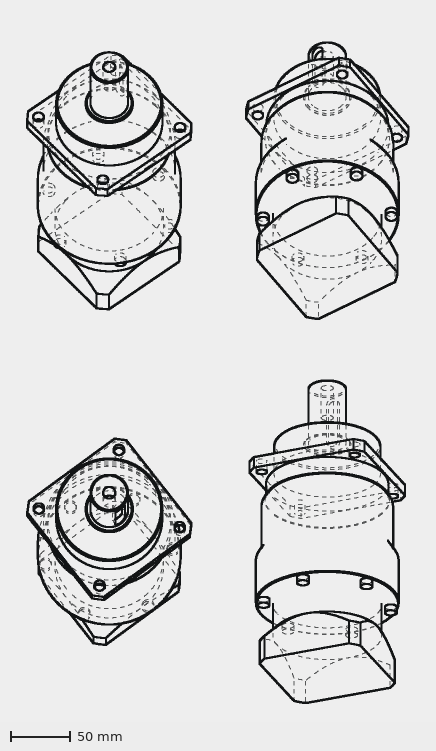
import cadquery as cq
import math

total_height = 268.5
adapter_cone_top = 35.5
bolt_head_bottom = 60.5
ring_bottom = 66.0
drum_top = 106.7
barrel_bottom = 113.8
barrel_top = 158.4
shoulder_bottom = 162.3
flange_neck_bottom = 164.8
flange_bottom = 178.2
flange_thickness = 10.0
boss_top = 215.0
collar_top = 216.5

neck_diameter = 92.0
drum_diameter = 121.0
barrel_diameter = 111.5
shoulder_diameter = 105.0
flange_neck_diameter = 103.5
boss_diameter = 90.0
collar_diameter = 40.0
shaft_diameter = 32.0

boss_chamfer = 1.25
collar_chamfer = 1.0
shaft_chamfer = 1.0
ring_chamfer = 0.75
cone_blend_radius = 5.0
neck_fillet = 1.5
flange_neck_fillet = 2.0

adapter_width = 92.0
adapter_corner_diameter = 120.0

flange_width = 105.0
flange_corner_cut = 7.0
flange_hole_circle = 120.0
flange_hole_diameter = 9.0

bolt_count = 6
bolt_circle = 108.5
bolt_head_diameter = 10.0

keyway_width = 10.0
keyway_length = 45.0
keyway_depth = 5.0
keyway_end_gap = 5.0
center_hole_diameter = 10.2
center_hole_depth = 28.0
drill_point_angle = 118.0


def cylinder(diameter, bottom, top):
    """Upright cylinder on the Z axis between two heights."""
    return cq.Workplane("XY").workplane(offset=bottom).circle(diameter / 2).extrude(top - bottom)


def fillet_circle(body, height, radius):
    """Round the circular edge whose centre lies on the Z axis at the given height."""
    return body.edges(cq.selectors.NearestToPointSelector((0, 0, height))).fillet(radius)


def motor_adapter():
    """Square block with rounded corners, its top turned to a 45 degree cone."""
    neck_radius = neck_diameter / 2
    corner_radius = adapter_corner_diameter / 2
    cone_bottom = adapter_cone_top - (corner_radius - neck_radius)
    envelope = (
        cq.Workplane("XZ")
        .moveTo(0, 0)
        .lineTo(corner_radius, 0)
        .lineTo(corner_radius, cone_bottom)
        .lineTo(neck_radius, adapter_cone_top)
        .lineTo(0, adapter_cone_top)
        .close()
        .revolve(360, (0, 0, 0), (0, 1, 0))
    )
    block = cq.Workplane("XY").rect(adapter_width, adapter_width).extrude(adapter_cone_top)
    return block.intersect(envelope)


def gear_housing():
    """Turned housing from the neck above the adapter up to the flange."""
    neck_radius = neck_diameter / 2
    drum_radius = drum_diameter / 2
    barrel_radius = barrel_diameter / 2
    shoulder_radius = shoulder_diameter / 2
    flange_neck_radius = flange_neck_diameter / 2
    fillet_reach = flange_neck_fillet - (shoulder_radius - flange_neck_radius)
    shoulder_top = flange_neck_bottom - math.sqrt(flange_neck_fillet**2 - fillet_reach**2)
    body = (
        cq.Workplane("XZ")
        .moveTo(0, adapter_cone_top)
        .lineTo(neck_radius, adapter_cone_top)
        .lineTo(neck_radius, ring_bottom - neck_fillet)
        .radiusArc((neck_radius + neck_fillet, ring_bottom), neck_fillet)
        .lineTo(drum_radius - ring_chamfer, ring_bottom)
        .lineTo(drum_radius, ring_bottom + ring_chamfer)
        .lineTo(drum_radius, drum_top)
        .lineTo(barrel_radius, barrel_bottom)
        .lineTo(barrel_radius, barrel_top)
        .lineTo(shoulder_radius, shoulder_bottom)
        .lineTo(shoulder_radius, shoulder_top)
        .radiusArc((flange_neck_radius, flange_neck_bottom), flange_neck_fillet)
        .lineTo(flange_neck_radius, flange_bottom)
        .lineTo(0, flange_bottom)
        .close()
        .revolve(360, (0, 0, 0), (0, 1, 0))
    )
    for height in (drum_top, barrel_bottom, barrel_top):
        body = fillet_circle(body, height, cone_blend_radius)
    return body


def bolt_heads():
    """Ring of cap-screw heads hanging below the ring."""
    return (
        cq.Workplane("XY")
        .workplane(offset=bolt_head_bottom)
        .polarArray(bolt_circle / 2, 90, 360, bolt_count)
        .circle(bolt_head_diameter / 2)
        .extrude(ring_bottom - bolt_head_bottom)
    )


def mounting_flange():
    """Square plate with cut corners and four through holes on its diagonals."""
    hole_pitch = flange_hole_circle / math.sqrt(2)
    return (
        cq.Workplane("XY")
        .workplane(offset=flange_bottom)
        .rect(flange_width, flange_width)
        .extrude(flange_thickness)
        .edges("|Z")
        .chamfer(flange_corner_cut)
        .faces(">Z")
        .workplane()
        .rect(hole_pitch, hole_pitch, forConstruction=True)
        .vertices()
        .hole(flange_hole_diameter)
    )


def front_boss():
    """Centring boss above the flange with the seal collar around the shaft."""
    flange_top = flange_bottom + flange_thickness
    boss = cylinder(boss_diameter, flange_top, boss_top).faces(">Z").chamfer(boss_chamfer)
    collar = cylinder(collar_diameter, boss_top, collar_top).faces(">Z").chamfer(collar_chamfer)
    return boss.union(collar)


def output_shaft():
    """Output shaft with a round-ended keyway on +Y and a drilled end hole."""
    shaft = cylinder(shaft_diameter, collar_top, total_height).faces(">Z").chamfer(shaft_chamfer)
    keyway_floor = shaft_diameter / 2 - keyway_depth
    keyway_center = total_height - keyway_end_gap - keyway_length / 2
    keyway = (
        cq.Workplane("XZ", origin=(0, keyway_floor, keyway_center))
        .slot2D(keyway_length, keyway_width, 90)
        .extrude(-keyway_depth)
    )
    hole_radius = center_hole_diameter / 2
    hole_bottom = total_height - center_hole_depth
    point_depth = hole_radius / math.tan(math.radians(drill_point_angle / 2))
    end_hole = (
        cq.Workplane("XZ")
        .moveTo(0, total_height)
        .lineTo(hole_radius, total_height)
        .lineTo(hole_radius, hole_bottom)
        .lineTo(0, hole_bottom - point_depth)
        .close()
        .revolve(360, (0, 0, 0), (0, 1, 0))
    )
    return shaft.cut(keyway).cut(end_hole)


result = (
    motor_adapter()
    .union(gear_housing())
    .union(bolt_heads())
    .union(mounting_flange())
    .union(front_boss())
    .union(output_shaft())
)